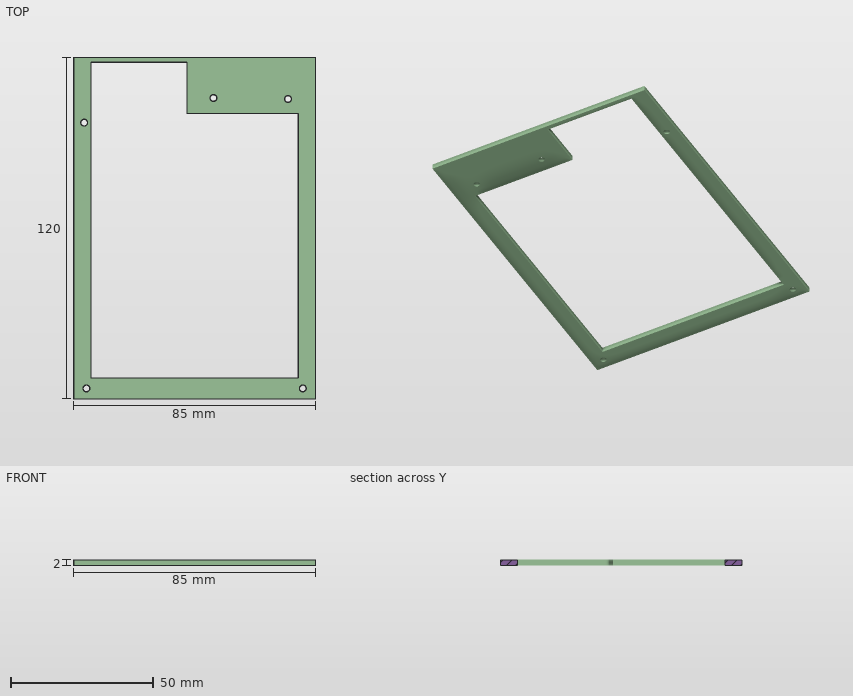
import cadquery as cq

WIDTH = 85.0
LENGTH = 120.0
THICKNESS = 2.0

SIDE_RIM = 6.15
BOTTOM_RIM = 7.45
TOP_RIM = 1.7

TAB_LEFT = 39.75
TAB_DEPTH = 19.7

HOLE_DIAMETER = 2.3
BOTTOM_HOLE_INSET = 4.5
BOTTOM_HOLE_Y = 3.75
HOLE_CENTERS = [
    (BOTTOM_HOLE_INSET, BOTTOM_HOLE_Y),
    (WIDTH - BOTTOM_HOLE_INSET, BOTTOM_HOLE_Y),
    (3.7, 97.1),
    (49.1, 105.75),
    (75.3, 105.4),
]


def make_plate():
    return cq.Workplane("XY").box(WIDTH, LENGTH, THICKNESS, centered=False)


def make_window():
    """L-shaped through opening that leaves the rims and the tab."""
    left = SIDE_RIM
    right = WIDTH - SIDE_RIM
    bottom = BOTTOM_RIM
    top = LENGTH - TOP_RIM
    tab_bottom = LENGTH - TAB_DEPTH
    outline = [
        (left, bottom),
        (right, bottom),
        (right, tab_bottom),
        (TAB_LEFT, tab_bottom),
        (TAB_LEFT, top),
        (left, top),
    ]
    return cq.Workplane("XY").polyline(outline).close().extrude(THICKNESS)


def make_holes():
    return (
        cq.Workplane("XY")
        .pushPoints(HOLE_CENTERS)
        .circle(HOLE_DIAMETER / 2)
        .extrude(THICKNESS)
    )


result = make_plate().cut(make_window()).cut(make_holes())